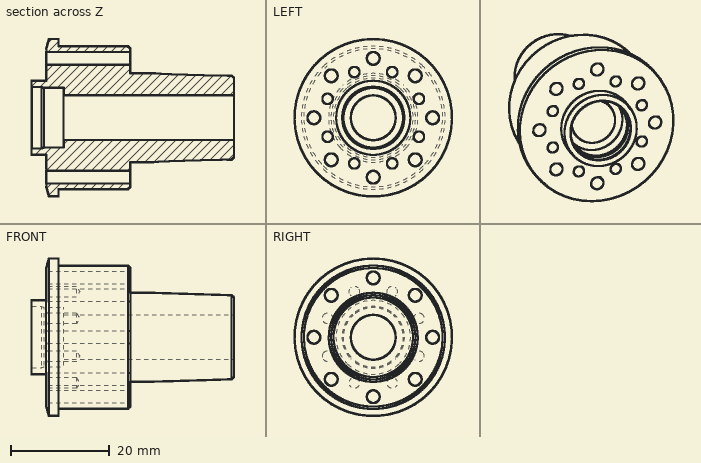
import cadquery as cq
import math

boss_length = 3.0
flange_rim_start = 3.53
flange_end = 5.5
hub_end = 20.0
neck_end = 24.48
total_length = 41.0

boss_radius = 7.5
flange_face_radius = 14.02
flange_radius = 15.95
hub_radius = 14.5
neck_radius = 9.0
spigot_end_radius = 8.53
edge_chamfer = 0.5

bore_radius = 4.5
mouth_radius = 6.2
mouth_edge_chamfer = 0.102
mouth_depth = 2.0
seat_radius = 6.03
seat_depth = 6.5
mouth_taper_length = 0.5

hole_count = 8
through_hole_radius = 1.27
through_circle_radius = 12.0
blind_hole_radius = 1.05
blind_circle_radius = 10.0
blind_hole_depth = 6.15
drill_point_angle = 118.0


def revolved(profile):
    """Revolve an (x, radius) outline about the X axis."""
    return cq.Workplane("XZ").polyline(profile).close().revolve(360, (0, 0, 0), (1, 0, 0))


def outer_body():
    return revolved([
        (0, 0),
        (0, boss_radius),
        (boss_length, boss_radius),
        (boss_length, flange_face_radius),
        (flange_rim_start, flange_radius),
        (flange_end, flange_radius),
        (flange_end, hub_radius),
        (hub_end - edge_chamfer, hub_radius),
        (hub_end, hub_radius - edge_chamfer),
        (hub_end, neck_radius),
        (neck_end, neck_radius),
        (total_length - edge_chamfer, spigot_end_radius),
        (total_length, spigot_end_radius - edge_chamfer),
        (total_length, 0),
    ])


def stepped_bore():
    return revolved([
        (0, 0),
        (0, mouth_radius + mouth_edge_chamfer),
        (mouth_edge_chamfer, mouth_radius),
        (mouth_depth, mouth_radius),
        (mouth_depth + mouth_taper_length, seat_radius),
        (seat_depth, seat_radius),
        (seat_depth, bore_radius),
        (total_length, bore_radius),
        (total_length, 0),
    ])


def on_hole_circle(hole, circle_radius, start_angle):
    """Repeat a hole lying on the X axis evenly around a circle."""
    holes = cq.Workplane("XY")
    for i in range(hole_count):
        angle = start_angle + i * 360 / hole_count
        placed = hole.translate((0, circle_radius, 0)).rotate((0, 0, 0), (1, 0, 0), angle)
        holes = holes.add(placed)
    return holes.combine()


def through_hole():
    return cq.Workplane("YZ").circle(through_hole_radius).extrude(hub_end)


def blind_hole():
    point_length = blind_hole_radius / math.tan(math.radians(drill_point_angle / 2))
    full_depth = boss_length + blind_hole_depth
    return revolved([
        (boss_length, 0),
        (boss_length, blind_hole_radius),
        (full_depth, blind_hole_radius),
        (full_depth + point_length, 0),
    ])


half_pitch = 180 / hole_count

result = (
    outer_body()
    .cut(stepped_bore())
    .cut(on_hole_circle(through_hole(), through_circle_radius, 0))
    .cut(on_hole_circle(blind_hole(), blind_circle_radius, half_pitch))
)